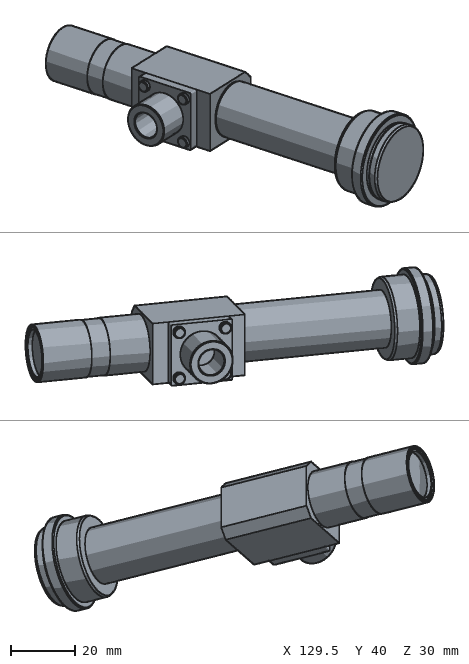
import cadquery as cq
length = 129.5
x_front = -length / 2
x_end = length / 2
barrel_radius = 9.0
groove_radius = 8.9
groove_start = x_front + 16.0
groove_width = 6.0

rim_chamfer = 0.3
ledge_radius = 8.0
ledge_chamfer = 0.4
recess_radius = 7.4
recess_depth = 1.8
dome_height = 0.6
dome_radius = (recess_radius**2 + dome_height**2) / (2 * dome_height)
dome_crest = x_front + recess_depth - dome_height

mount_radius = 13.1
ring_radius = 15.0
thread_radius = 12.5
relief_radius = 12.3
thread_length = 4.0
ring_width = 4.0
mount_length = 8.0
relief_width = 1.0
mount_bevel_length = 0.8
mount_bevel_depth = 0.4
ring_chamfer = 0.4
ring_end = x_end - thread_length
ring_start = ring_end - ring_width
mount_start = ring_start - mount_length
thread_start = ring_end + relief_width

block_length = 30.0
block_start = x_front + 35.0
block_center = block_start + block_length / 2
block_height = 20.0
block_back = block_height / 2
block_front = -11.7
block_chamfer = 3.0
undercut_radius = 8.9
undercut_width = 0.4

plate_size = block_height
plate_thickness = 3.1
plate_corner_radius = 0.5
plate_face = block_front - plate_thickness
screw_pitch = 15.0
screw_radius = 1.8
screw_height = 1.3
screw_edge_chamfer = 0.3

socket_end = -25.0
socket_radius = 7.0
socket_chamfer = 0.3
bore_radius = 4.1


def front_plane(y):
    """Sketch plane at the given Y, facing -Y, centred on the connector axis."""
    return cq.Plane(origin=(block_center, y, 0), xDir=(1, 0, 0), normal=(0, -1, 0))


def make_barrel():
    """Turned barrel: recessed front lens, grip groove, undercut behind the block, and rear mount."""
    groove_end = groove_start + groove_width
    block_end = block_start + block_length
    profile = (
        cq.Workplane("XZ")
        .moveTo(x_front + recess_depth, recess_radius)
        .lineTo(x_front + ledge_chamfer, recess_radius)
        .lineTo(x_front + ledge_chamfer, ledge_radius)
        .lineTo(x_front, ledge_radius + ledge_chamfer)
        .lineTo(x_front, barrel_radius - rim_chamfer)
        .lineTo(x_front + rim_chamfer, barrel_radius)
        .lineTo(groove_start, barrel_radius)
        .lineTo(groove_start, groove_radius)
        .lineTo(groove_end, groove_radius)
        .lineTo(groove_end, barrel_radius)
        .lineTo(block_end, barrel_radius)
        .lineTo(block_end, undercut_radius)
        .lineTo(block_end + undercut_width, undercut_radius)
        .lineTo(block_end + undercut_width, barrel_radius)
        .lineTo(mount_start, barrel_radius)
        .lineTo(mount_start, mount_radius - mount_bevel_depth)
        .lineTo(mount_start + mount_bevel_length, mount_radius)
        .lineTo(ring_start, mount_radius)
        .lineTo(ring_start, ring_radius - ring_chamfer)
        .lineTo(ring_start + ring_chamfer, ring_radius)
        .lineTo(ring_end - ring_chamfer, ring_radius)
        .lineTo(ring_end, ring_radius - ring_chamfer)
        .lineTo(ring_end, relief_radius)
        .lineTo(thread_start, relief_radius)
        .lineTo(thread_start, thread_radius)
        .lineTo(x_end - mount_bevel_length, thread_radius)
        .lineTo(x_end, thread_radius - mount_bevel_depth)
        .lineTo(x_end, 0)
        .lineTo(dome_crest, 0)
        .radiusArc((x_front + recess_depth, recess_radius), dome_radius)
        .close()
    )
    return profile.revolve(360, (0, 0, 0), (1, 0, 0))


def make_block():
    """Square block with its two rear corners bevelled."""
    half = block_height / 2
    return (
        cq.Workplane("YZ", origin=(block_start, 0, 0))
        .moveTo(block_front, -half)
        .lineTo(block_back - block_chamfer, -half)
        .lineTo(block_back, -half + block_chamfer)
        .lineTo(block_back, half - block_chamfer)
        .lineTo(block_back - block_chamfer, half)
        .lineTo(block_front, half)
        .close()
        .extrude(block_length)
    )


def make_plate():
    """Square plate with rounded corners and a hole that the socket passes through."""
    return (
        cq.Workplane(front_plane(block_front))
        .rect(plate_size, plate_size)
        .extrude(plate_thickness)
        .edges("|Y")
        .fillet(plate_corner_radius)
        .cut(cq.Workplane(front_plane(block_front)).circle(socket_radius).extrude(plate_thickness))
    )


def make_socket():
    """Tube that stands on the block, passes through the plate and has a blind bore."""
    bore = cq.Workplane(front_plane(plate_face)).circle(bore_radius).extrude(plate_face - socket_end)
    return (
        cq.Workplane(front_plane(block_front))
        .circle(socket_radius)
        .extrude(block_front - socket_end)
        .cut(bore)
        .faces("<Y")
        .edges()
        .chamfer(socket_chamfer)
    )


def make_screw(x, z):
    """Screw head resting on the plate at the given offset from the connector axis."""
    return (
        cq.Workplane(front_plane(plate_face))
        .center(x, z)
        .circle(screw_radius)
        .extrude(screw_height)
        .faces("<Y")
        .edges()
        .chamfer(screw_edge_chamfer)
    )


lens_body = make_barrel().union(make_block())
plate = make_plate()
socket = make_socket()
screws = []
for x in (-screw_pitch / 2, screw_pitch / 2):
    for z in (-screw_pitch / 2, screw_pitch / 2):
        screws.append(make_screw(x, z).val())

result = cq.Compound.makeCompound([lens_body.val(), plate.val(), socket.val(), *screws])